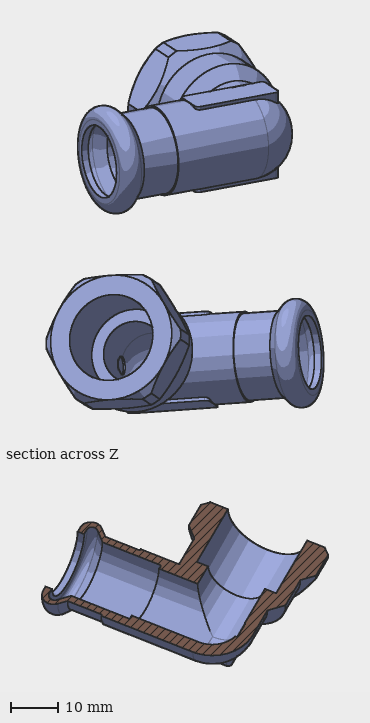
import cadquery as cq
import math

body_radius = 9.65

nut_face_x = -26.95
across_flats = 27.0
nut_corner_radius = 15.0
nut_chamfer = nut_corner_radius - across_flats / 2
nut_chamfer_end_x = -19.5
collar_radius = 12.5
collar_end_x = -9.8
thread_radius = 9.3
thread_depth = 15.15

press_end_y = -35.5
body_end_y = -21.5
sleeve_radius = 9.3
bead_outer_radius = 11.6
bead_round = 2.5
socket_mouth_radius = 7.85
socket_lip = 1.55
seal_groove_round = 1.2
socket_radius = 7.65
socket_start_depth = 5.95
socket_depth = 19.7

bore_radius = 6.65
end_spot_radius = 1.95
end_spot_depth = 0.1

pad_width = 7.25
pad_back_y = 5.95
pad_front_y = -14.05
pad_corner_radius = 0.95
pad_height = 9.7


def rod_x(radius, start_x, end_x):
    """Cylinder on the X axis."""
    return cq.Workplane("YZ", origin=(start_x, 0, 0)).circle(radius).extrude(end_x - start_x)


def rod_y(radius, start_y, end_y):
    """Cylinder on the Y axis."""
    plane = cq.Plane(origin=(0, start_y, 0), xDir=(1, 0, 0), normal=(0, 1, 0))
    return cq.Workplane(plane).circle(radius).extrude(end_y - start_y)


def threaded_end():
    """Hexagonal nut with turned chamfers, round collar and cone down to the elbow."""
    collar_start_x = nut_chamfer_end_x + nut_corner_radius - collar_radius
    cone_end_x = collar_end_x + collar_radius - body_radius
    turned = (
        cq.Workplane("XY")
        .moveTo(nut_face_x, 0)
        .lineTo(nut_face_x, nut_corner_radius - nut_chamfer)
        .lineTo(nut_face_x + nut_chamfer, nut_corner_radius)
        .lineTo(nut_chamfer_end_x, nut_corner_radius)
        .lineTo(collar_start_x, collar_radius)
        .lineTo(collar_end_x, collar_radius)
        .lineTo(cone_end_x, body_radius)
        .lineTo(0, body_radius)
        .lineTo(0, 0)
        .close()
        .revolve(360, (0, 0, 0), (1, 0, 0))
    )
    across_corners = across_flats / math.cos(math.pi / 6)
    hexagon = (
        cq.Workplane("YZ", origin=(nut_face_x, 0, 0))
        .polygon(6, across_corners)
        .extrude(-nut_face_x)
    )
    return turned.intersect(hexagon)


def press_end():
    """Straight body, thinner sleeve and rounded bead that holds the seal."""
    bead_center_radius = bead_outer_radius - bead_round
    bead_center_y = press_end_y + bead_round
    diagonal = bead_round * math.sqrt(0.5)
    cone_radius = bead_center_radius + diagonal
    cone_y = bead_center_y + diagonal
    return (
        cq.Workplane("XY")
        .lineTo(body_radius, 0)
        .lineTo(body_radius, body_end_y)
        .lineTo(sleeve_radius, body_end_y)
        .lineTo(sleeve_radius, cone_y + cone_radius - sleeve_radius)
        .lineTo(cone_radius, cone_y)
        .threePointArc(
            (cone_radius, bead_center_y - diagonal),
            (bead_center_radius, press_end_y),
        )
        .lineTo(0, press_end_y)
        .close()
        .revolve(360, (0, 0, 0), (0, 1, 0))
    )


def pads():
    """Rounded rectangular block through the elbow, showing as a flat on both sides."""
    return (
        cq.Workplane("XY")
        .box(pad_width, pad_back_y - pad_front_y, 2 * pad_height)
        .edges("|Z")
        .fillet(pad_corner_radius)
        .translate((0, (pad_back_y + pad_front_y) / 2, 0))
    )


def press_socket():
    """Mouth, rounded seal groove with a 45 degree inner flank, and tube socket behind it."""
    lip_y = press_end_y + socket_lip
    socket_start_y = press_end_y + socket_start_depth
    diagonal = seal_groove_round * math.sqrt(0.5)
    groove_center_y = lip_y + seal_groove_round
    flank_y = groove_center_y + diagonal
    flank_radius = socket_radius + socket_start_y - flank_y
    groove_center_radius = flank_radius - diagonal
    shoulder_y = press_end_y + socket_depth
    return (
        cq.Workplane("XY")
        .moveTo(0, press_end_y)
        .lineTo(socket_mouth_radius, press_end_y)
        .lineTo(socket_mouth_radius, lip_y)
        .lineTo(groove_center_radius, lip_y)
        .threePointArc(
            (flank_radius, groove_center_y - diagonal),
            (flank_radius, flank_y),
        )
        .lineTo(socket_radius, socket_start_y)
        .lineTo(socket_radius, shoulder_y)
        .lineTo(0, shoulder_y)
        .close()
        .revolve(360, (0, 0, 0), (0, 1, 0))
    )


def waterway():
    """Elbow bore, thread bore and stepped press socket as one cutting body."""
    bore = (
        rod_x(bore_radius, nut_face_x, 0)
        .union(rod_y(bore_radius, press_end_y, 0))
        .union(cq.Workplane("XY").sphere(bore_radius))
    )
    thread = rod_x(thread_radius, nut_face_x, nut_face_x + thread_depth)
    end_spot = rod_y(end_spot_radius, 0, bore_radius + end_spot_depth)
    return bore.union(thread).union(press_socket()).union(end_spot)


elbow = cq.Workplane("XY").sphere(body_radius)
result = elbow.union(threaded_end()).union(press_end()).union(pads()).cut(waterway())